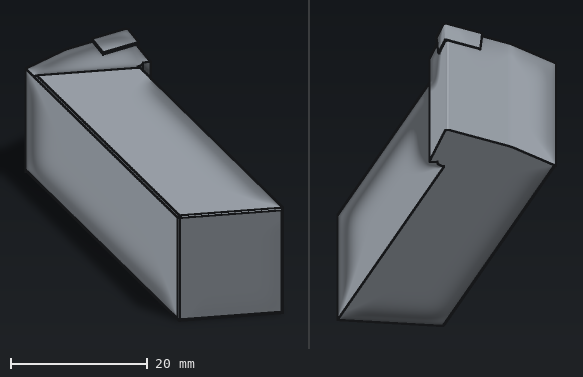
import cadquery as cq
import math

length = 99.65
height = 16.0
shank_width = 16.0
tip_y = 19.9

insert_side = 7.8
insert_thickness = 2.4
insert_nose_radius = 0.4
nose_angle = 55.0
clearance_angle = 7.0
front_slope = 3.0
flank_slope = front_slope + nose_angle

head_setback = 0.4
head_nose_radius = 0.4
head_drop = 0.3
head_back_x = 17.2
shoulder_y = 17.4
shoulder_end_x = 19.2
shoulder_bow = 0.2
relief_start_x = 15.7
relief_slope = 45.0
relief_blend_radius = 5.0

shank_top_x = 20.5
edge_chamfer = 0.3


def direction(slope):
    """Unit vector in XY that falls by the given slope toward +X."""
    angle = math.radians(slope)
    return cq.Vector(math.cos(angle), -math.sin(angle), 0)


front_dir = direction(front_slope)
flank_dir = direction(flank_slope)
bisector = direction((front_slope + flank_slope) / 2)
half_nose_sine = math.sin(math.radians(nose_angle / 2))

nose_centre = cq.Vector(insert_nose_radius, tip_y - insert_nose_radius, 0)
insert_apex = nose_centre - bisector * (insert_nose_radius / half_nose_sine)
head_apex = insert_apex + bisector * (head_setback / half_nose_sine)


def make_insert():
    inner_corner = insert_apex + (front_dir + flank_dir) * insert_side
    corners = [
        insert_apex,
        insert_apex + flank_dir * insert_side,
        inner_corner,
        insert_apex + front_dir * insert_side,
    ]
    outline = cq.Sketch().polygon([(c.x, c.y) for c in corners + corners[:1]])
    nose_point = (insert_apex.x, insert_apex.y, 0)
    outline = outline.vertices(cq.NearestToPointSelector(nose_point)).fillet(insert_nose_radius)
    return (
        cq.Workplane("XY", origin=(0, 0, height))
        .placeSketch(outline)
        .extrude(-insert_thickness, taper=clearance_angle)
    )


def make_head():
    flank_tan = math.tan(math.radians(flank_slope))
    relief_tan = math.tan(math.radians(relief_slope))
    flank_height = head_apex.y + flank_tan * head_apex.x
    corner_x = (flank_height - relief_tan * relief_start_x) / (flank_tan - relief_tan)
    corner_y = relief_tan * (relief_start_x - corner_x)

    front_y = head_apex.y - math.tan(math.radians(front_slope)) * (head_back_x - head_apex.x)
    shoulder_mid = (
        (head_back_x + shoulder_end_x) / 2 + shoulder_bow,
        (shoulder_y + shank_width) / 2 + shoulder_bow,
    )
    head_end_x = shank_top_x + edge_chamfer
    head = (
        cq.Workplane("XY")
        .moveTo(relief_start_x, 0)
        .lineTo(corner_x, corner_y)
        .lineTo(head_apex.x, head_apex.y)
        .lineTo(head_back_x, front_y)
        .lineTo(head_back_x, shoulder_y)
        .threePointArc(shoulder_mid, (shoulder_end_x, shank_width))
        .lineTo(head_end_x, shank_width)
        .lineTo(head_end_x, 0)
        .close()
        .extrude(height - head_drop)
    )
    nose_edge = cq.NearestToPointSelector((head_apex.x, head_apex.y, height / 2))
    blend_edge = cq.NearestToPointSelector((corner_x, corner_y, height / 2))
    head = head.edges(nose_edge).fillet(head_nose_radius)
    head = head.edges(blend_edge).fillet(relief_blend_radius)

    bottom_chamfer = (
        cq.Workplane("YZ")
        .polyline([(0, 0), (edge_chamfer, 0), (0, edge_chamfer)])
        .close()
        .extrude(head_end_x - relief_start_x)
        .translate((relief_start_x, 0, 0))
    )
    return head.cut(bottom_chamfer)


def make_shank():
    shank_length = length - shank_top_x
    shank = cq.Workplane("XY").box(shank_length, shank_width, height, centered=False)
    shank = shank.edges("(|X and <Y) or >X or (<X and >Z)").chamfer(edge_chamfer)
    return shank.translate((shank_top_x, 0, 0))


def make_holder(insert):
    return make_head().union(make_shank()).cut(insert)


insert = make_insert()
holder = make_holder(insert)
result = cq.Compound.makeCompound([holder.val(), insert.val()])